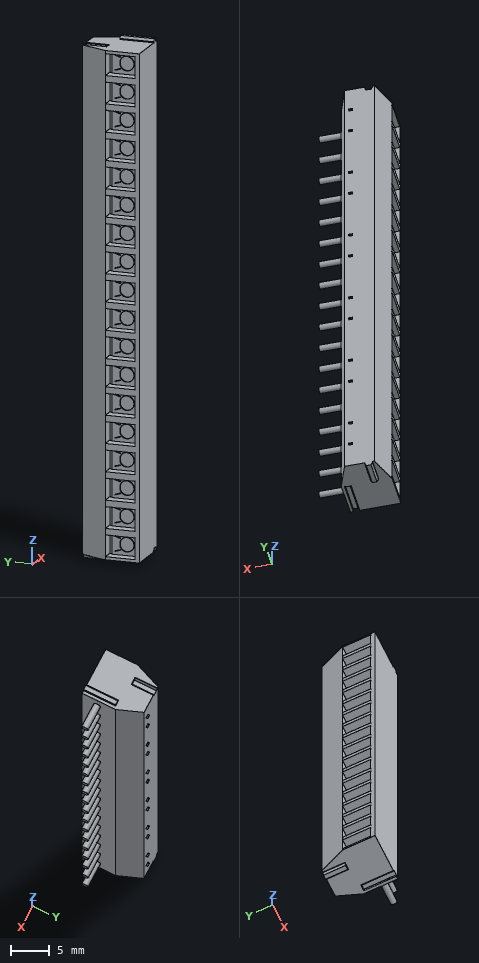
import cadquery as cq

total_height = 69.6
rib_height = 0.5
peg_height = 0.55
way_count = 18
body_height = total_height - rib_height - peg_height
pitch = body_height / way_count

body_width = 6.75
body_depth = 8.35
shoulder_left_y = 4.65
shoulder_right_y = 4.9
back_left_x = 1.45
back_right_x = 5.4

window_height = 2.9
window_depth = 1.4
window_front_y = 0.6
window_dip_width = 0.4
window_dip = 0.35

hole_y = 2.2
hole_radius = 1.0
hole_depth = 0.15
hole_flat_y = 3.1

guide_end_y = 3.8
guide_inner_offset = 0.85
guide_outer_offset = 1.05
guide_width = 0.1
guide_depth = 0.1

pin_width = 1.0
pin_height = 0.9
pin_length = 3.55
pin_y = 2.2

rib_right_x = 6.3
rib_width = 0.85
peg_center_x = 2.2
peg_width = 1.05
peg_length = 3.2
stacking_wall = 0.15
stacking_taper = 0.2

ways_per_group = 3
mark_x = 4.6
mark_width = 0.5
mark_height = 0.15
mark_projection = 0.2


def body():
    outline = [
        (0, 0),
        (body_width, 0),
        (body_width, shoulder_right_y),
        (back_right_x, body_depth),
        (back_left_x, body_depth),
        (0, shoulder_left_y),
    ]
    return cq.Workplane("XY").polyline(outline).close().extrude(body_height)


def window():
    """Rectangular window, centred on Z = 0, whose floor dips towards the +Y wall."""
    outline = [
        (0, window_front_y),
        (window_depth, window_front_y),
        (window_depth, shoulder_left_y - window_dip_width),
        (window_depth + window_dip, shoulder_left_y),
        (0, shoulder_left_y),
    ]
    return cq.Workplane("XY").polyline(outline).close().extrude(window_height / 2, both=True)


def window_floor_plane():
    return cq.Workplane("YZ", origin=(window_depth, 0, 0))


def wire_hole():
    """Shallow round hole, cut off by a flat on its +Y side."""
    disc = window_floor_plane().center(hole_y, 0).circle(hole_radius).extrude(hole_depth)
    kept_side = window_floor_plane().rect(2 * hole_flat_y, 2 * hole_radius).extrude(hole_depth)
    return disc.intersect(kept_side)


def guide_groove(side):
    """Narrow groove from a corner of the hole's flat, spreading outwards; side is +1 or -1 along Z."""
    outline = [
        (hole_flat_y, side * guide_inner_offset),
        (guide_end_y, side * guide_outer_offset),
        (guide_end_y, side * (guide_outer_offset - guide_width)),
        (hole_flat_y, side * (guide_inner_offset - guide_width)),
    ]
    return window_floor_plane().polyline(outline).close().extrude(guide_depth)


def wire_entry():
    """Everything cut away for one way: window, wire hole and both guide grooves."""
    return window().union(wire_hole()).union(guide_groove(1)).union(guide_groove(-1))


def pin():
    """Pin with a lens-shaped section: two arcs meeting in ridges on its -Y and +Y sides."""
    front_ridge = (pin_y - pin_width / 2, 0)
    back_ridge = (pin_y + pin_width / 2, 0)
    return (
        cq.Workplane("YZ", origin=(body_width, 0, 0))
        .moveTo(*front_ridge)
        .threePointArc((pin_y, pin_height / 2), back_ridge)
        .threePointArc((pin_y, -pin_height / 2), front_ridge)
        .close()
        .extrude(pin_length)
    )


def prism_along_y(points, start_y, end_y):
    """Prism with an XZ outline between two Y positions."""
    return cq.Workplane("XZ", origin=(0, start_y, 0)).polyline(points).close().extrude(start_y - end_y)


def rib(z):
    """Stacking rib standing on height z, upright at its foot and then tapered on its -X side."""
    left_x = rib_right_x - rib_width
    crest_z = z + rib_height
    outline = [
        (left_x, z),
        (rib_right_x, z),
        (rib_right_x, crest_z),
        (left_x + stacking_taper, crest_z),
        (left_x, z + stacking_wall),
    ]
    return prism_along_y(outline, 0, shoulder_left_y)


def peg(z):
    """Stacking peg hanging from height z, flush with the +Y face, tapered below its upright foot."""
    left_x = peg_center_x - peg_width / 2
    right_x = peg_center_x + peg_width / 2
    crest_z = z - peg_height
    outline = [
        (left_x, z),
        (right_x, z),
        (right_x, z - stacking_wall),
        (right_x - stacking_taper, crest_z),
        (left_x + stacking_taper, crest_z),
        (left_x, z - stacking_wall),
    ]
    return prism_along_y(outline, body_depth - peg_length, body_depth)


def joint_mark():
    mark = cq.Workplane("XY").box(mark_width, mark_projection, mark_height, centered=(True, False, True))
    return mark.translate((mark_x, body_depth, 0))


result = body().cut(rib(0)).cut(peg(body_height))
result = result.union(rib(body_height)).union(peg(0))

entry_shape = wire_entry()
pin_shape = pin()
mark_shape = joint_mark()

for way in range(way_count):
    lower_joint = (0, 0, way * pitch)
    center = (0, 0, (way + 0.5) * pitch)
    result = result.cut(entry_shape.translate(center))
    result = result.union(pin_shape.translate(center))
    if way % ways_per_group != 0:
        result = result.union(mark_shape.translate(lower_joint))